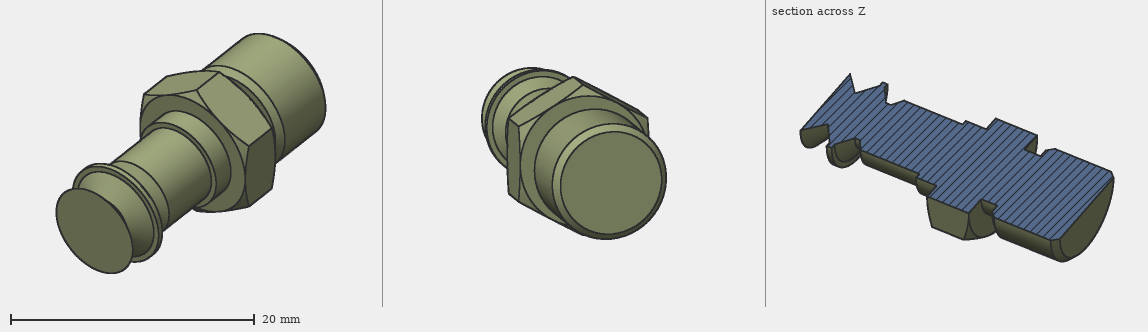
import cadquery as cq
import math

waist_y = 1.55
rim_front_y = 2.8
rim_back_y = 3.3
neck_front_y = 4.32
neck_back_y = 4.8
stem_front_y = 5.45
collar_front_y = 11.05
hex_front_y = 13
hex_back_y = 17
head_front_y = 18.5
total_length = 25

lip_diameter = 8
waist_diameter = 4.38
bellows_diameter = 8
rim_diameter = 9
neck_diameter = 5
stem_diameter = 7
collar_diameter = 8
head_diameter = 9.72
head_chamfer = 0.55

hex_across_flats = 11
hex_chamfer_angle = 30


def revolve_about_y(profile):
    """Turn a closed outline of (radius, y) points about the Y axis."""
    return cq.Workplane("XY").polyline(profile).close().revolve(360, (0, 0, 0), (0, 1, 0))


def make_turned_body():
    lip_r = lip_diameter / 2
    waist_r = waist_diameter / 2
    bellows_r = bellows_diameter / 2
    rim_r = rim_diameter / 2
    neck_r = neck_diameter / 2
    stem_r = stem_diameter / 2
    collar_r = collar_diameter / 2
    head_r = head_diameter / 2
    return revolve_about_y([
        (0, 0),
        (lip_r, 0),
        (waist_r, waist_y),
        (bellows_r, rim_front_y),
        (rim_r, rim_front_y),
        (rim_r, rim_back_y),
        (bellows_r, rim_back_y),
        (neck_r, neck_front_y),
        (neck_r, neck_back_y),
        (stem_r, stem_front_y),
        (stem_r, collar_front_y),
        (collar_r, collar_front_y),
        (collar_r, hex_front_y),
        (stem_r, hex_front_y),
        (stem_r, head_front_y),
        (head_r - head_chamfer, head_front_y),
        (head_r, head_front_y + head_chamfer),
        (head_r, total_length - head_chamfer),
        (head_r - head_chamfer, total_length),
        (0, total_length),
    ])


def make_hex_nut():
    flat_r = hex_across_flats / 2
    corner_r = flat_r / math.cos(math.radians(30))
    chamfer_depth = (corner_r - flat_r) * math.tan(math.radians(hex_chamfer_angle))
    prism = (
        cq.Workplane("XZ", origin=(0, hex_back_y, 0))
        .transformed(rotate=(0, 0, 90))
        .polygon(6, 2 * corner_r)
        .extrude(hex_back_y - hex_front_y)
    )
    envelope = revolve_about_y([
        (0, hex_front_y),
        (flat_r, hex_front_y),
        (corner_r, hex_front_y + chamfer_depth),
        (corner_r, hex_back_y - chamfer_depth),
        (flat_r, hex_back_y),
        (0, hex_back_y),
    ])
    return prism.intersect(envelope)


result = make_turned_body().union(make_hex_nut())